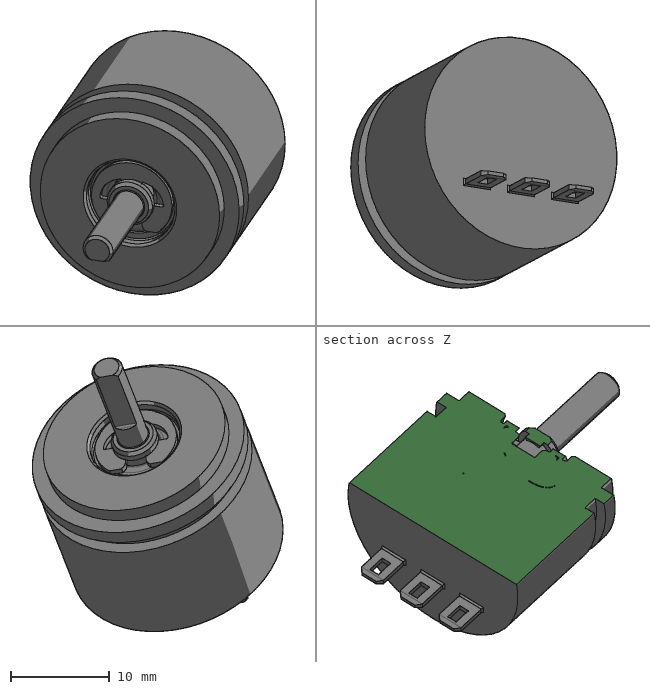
import cadquery as cq


body_diameter = 22.225
body_length = 12.5
groove_diameter = 19.9
groove_width = 1.575
flange_thickness = 1.575
pilot_diameter = 19.05
pilot_length = 1.5875
pilot_y = -pilot_length
groove_front_y = flange_thickness
body_front_y = groove_front_y + groove_width
body_back_y = body_front_y + body_length

recess_mouth_radius = 4.97
recess_wall_radius = 4.7
recess_floor_bevel = 0.15
recess_chamfer_depth = 0.25
recess_depth = 1.13
recess_floor_y = pilot_y + recess_depth

bushing_radius = 2.4
bushing_face_radius = 2.1
bushing_groove_radius = 1.7
bushing_bevel_length = 0.35
bushing_projection = 0.4
bushing_front_y = pilot_y - bushing_projection
bearing_radius = 3.92
bearing_height = 1.5
bearing_setback = 0.07
bearing_front_y = recess_floor_y + bearing_setback
bearing_back_y = bearing_front_y + bearing_height
bearing_fillet = 0.4

clip_radius = 4.27
clip_thickness = 0.6
clip_flat_z = -3.26
clip_front_y = bearing_front_y - clip_thickness
clip_mouth_half_width = 1.08
clip_mouth_flare = 0.42
clip_mouth_flare_height = 0.7
clip_mouth_flare_bulge = 0.06
window_bottom_x = 3.4
window_bottom_z = -0.25
window_side_x = 2.77
window_side_z = 1.38
window_top_x = 1.3
window_top_z = 2.24
window_inner_x = 1.15
window_corner_radius = 0.2

shaft_radius = 3.175 / 2
shaft_length = 12.7
shaft_chamfer = 0.29
shaft_collar_radius = 1.69
shaft_collar_length = 0.08
flat_z = -1.11
flat_length = 7.85
flat_end_fillet = 0.2

terminal_count = 3
terminal_pitch = 5.08
terminal_z = -5.08
terminal_width = 2.87
terminal_thickness = 0.54
terminal_length = 4.0
terminal_tip_length = 0.53
terminal_tip_thickness = 0.38
eye_width = 1.1
eye_length = 1.95
eye_tip_distance = 0.82
base_height = 0.25
base_flare = 0.12

embed = 0.5


def disc(radius, front_y, back_y):
    """Solid disc about the Y axis between two Y positions."""
    return cq.Workplane("XZ", origin=(0, back_y, 0)).circle(radius).extrude(back_y - front_y)


def revolved(profile):
    """Revolve a closed (radius, y) profile about the Y axis."""
    return cq.Workplane("XY").polyline(profile).close().revolve(360, (0, 0, 0), (0, 1, 0))


def make_housing():
    body_radius = body_diameter / 2
    groove_radius = groove_diameter / 2
    pilot_radius = pilot_diameter / 2
    housing = revolved([
        (0, pilot_y),
        (pilot_radius, pilot_y),
        (pilot_radius, 0),
        (body_radius, 0),
        (body_radius, groove_front_y),
        (groove_radius, groove_front_y),
        (groove_radius, body_front_y),
        (body_radius, body_front_y),
        (body_radius, body_back_y),
        (0, body_back_y),
    ])
    recess = revolved([
        (0, pilot_y),
        (recess_mouth_radius, pilot_y),
        (recess_wall_radius, pilot_y + recess_chamfer_depth),
        (recess_wall_radius, recess_floor_y - recess_floor_bevel),
        (recess_wall_radius - recess_floor_bevel, recess_floor_y),
        (bearing_radius, recess_floor_y),
        (bearing_radius, bearing_back_y),
        (0, bearing_back_y),
    ])
    return housing.cut(recess)


def make_bushing():
    bushing = revolved([
        (0, bushing_front_y),
        (bushing_face_radius, bushing_front_y),
        (bushing_radius, bushing_front_y + bushing_bevel_length),
        (bushing_radius, clip_front_y),
        (bushing_groove_radius, clip_front_y),
        (bushing_groove_radius, bearing_back_y + embed),
        (0, bearing_back_y + embed),
    ])
    bearing = disc(bearing_radius, bearing_front_y, bearing_back_y)
    bearing = bearing.cut(disc(bushing_radius, bearing_front_y, bearing_back_y))
    bearing = bearing.faces("<Y").edges().fillet(bearing_fillet)
    return bushing.union(bearing)


def make_clip():
    plane = cq.Workplane("XZ", origin=(0, bearing_front_y, 0))
    clip = plane.circle(clip_radius).extrude(clip_thickness)
    below_flat = plane.center(0, clip_flat_z - clip_radius / 2)
    clip = clip.cut(below_flat.rect(2 * clip_radius, clip_radius).extrude(clip_thickness))

    flare_top_z = clip_flat_z + clip_mouth_flare_height
    flare_middle_x = clip_mouth_half_width + clip_mouth_flare / 2 - clip_mouth_flare_bulge
    flare_middle_z = clip_flat_z + clip_mouth_flare_height / 2 - clip_mouth_flare_bulge
    half_mouth = (
        plane
        .lineTo(clip_mouth_half_width, 0)
        .lineTo(clip_mouth_half_width, flare_top_z)
        .threePointArc(
            (flare_middle_x, flare_middle_z),
            (clip_mouth_half_width + clip_mouth_flare, clip_flat_z),
        )
        .lineTo(0, clip_flat_z)
        .close()
        .extrude(clip_thickness)
    )
    window = (
        plane
        .moveTo(0, window_bottom_z)
        .lineTo(window_bottom_x, window_bottom_z)
        .threePointArc((window_side_x, window_side_z), (window_top_x, window_top_z))
        .lineTo(window_inner_x, window_top_z)
        .close()
        .extrude(clip_thickness)
        .edges("|Y and >X")
        .fillet(window_corner_radius)
    )
    for opening in (half_mouth, window):
        clip = clip.cut(opening).cut(opening.mirror("YZ"))
    return clip


def make_shaft():
    tip_y = -shaft_length
    collar_y = bushing_front_y - shaft_collar_length
    shaft = disc(shaft_radius, tip_y, bushing_front_y + embed)
    shaft = shaft.faces("<Y").chamfer(shaft_chamfer)
    flat = (
        cq.Workplane("XY", origin=(0, tip_y + flat_length / 2, flat_z - shaft_radius / 2))
        .box(2 * shaft_radius, flat_length, shaft_radius)
        .edges("|X and >Y and >Z")
        .fillet(flat_end_fillet)
    )
    collar = revolved([
        (0, collar_y),
        (shaft_radius, collar_y),
        (shaft_collar_radius, bushing_front_y),
        (0, bushing_front_y),
    ])
    return shaft.cut(flat).union(collar)


def make_terminal(x):
    tip_y = body_back_y + terminal_length
    root_y = body_back_y - embed
    half_width = terminal_width / 2
    side = (
        cq.Workplane("YZ", origin=(-half_width, 0, 0))
        .moveTo(root_y, -terminal_thickness / 2)
        .lineTo(tip_y - terminal_tip_length, -terminal_thickness / 2)
        .lineTo(tip_y, -terminal_tip_thickness / 2)
        .lineTo(tip_y, terminal_tip_thickness / 2)
        .lineTo(tip_y - terminal_tip_length, terminal_thickness / 2)
        .lineTo(root_y, terminal_thickness / 2)
        .close()
        .extrude(terminal_width)
    )
    blade = side.edges("|Z and >Y").chamfer(terminal_tip_length)
    eye_y = tip_y - eye_tip_distance - eye_length / 2
    eye = cq.Workplane("XY", origin=(0, eye_y, 0)).box(eye_width, eye_length, terminal_thickness)
    base = (
        cq.Workplane("XZ", origin=(0, body_back_y, 0))
        .rect(terminal_width + 2 * base_flare, terminal_thickness + 2 * base_flare)
        .workplane(offset=-base_height)
        .rect(terminal_width, terminal_thickness)
        .loft()
    )
    return blade.cut(eye).union(base).translate((x, 0, terminal_z))


result = make_housing().union(make_bushing()).union(make_clip()).union(make_shaft())
for index in range(terminal_count):
    offset = (index - (terminal_count - 1) / 2) * terminal_pitch
    result = result.union(make_terminal(offset))